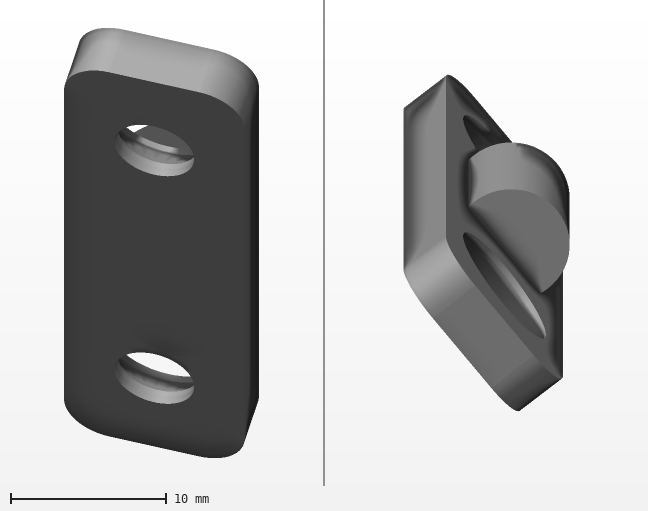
import cadquery as cq
import math

plate_width = 12.0
plate_height = 40.0
plate_thickness = 3.5
corner_radius = 3.0

hole_spacing = 25.0
hole_diameter = 5.3
hole_straight_depth = 1.0
countersink_diameter = 8.5
countersink_mouth_depth = 0.5

flange_width = 7.5
flange_height = 12.0
flange_depth = 1.0
stem_height = 10.0
nose_radius = flange_width / 2
nose_center_above_back = 0.55
nose_center_y = plate_thickness + nose_center_above_back
nose_tip_y = nose_center_y + nose_radius
stem_half_width = math.sqrt(nose_radius**2 - nose_center_above_back**2)


def make_insert():
    """Retaining flange with a round-nosed stem that passes through the plate."""
    flange = cq.Workplane("XY").box(
        flange_width, flange_depth, flange_height, centered=(True, False, True)
    )
    stem = (
        cq.Workplane("XY")
        .moveTo(-stem_half_width, 0)
        .lineTo(stem_half_width, 0)
        .lineTo(stem_half_width, plate_thickness)
        .threePointArc((0, nose_tip_y), (-stem_half_width, plate_thickness))
        .close()
        .extrude(stem_height)
        .translate((0, 0, -stem_height / 2))
    )
    return flange.union(stem)


def make_screw_hole(center_z):
    """Cutter for one screw hole: straight bore, cone, then a wide straight mouth at the back."""
    bore_radius = hole_diameter / 2
    mouth_radius = countersink_diameter / 2
    cone_end_y = plate_thickness - countersink_mouth_depth
    return (
        cq.Workplane("XY")
        .polyline(
            [
                (0, 0),
                (bore_radius, 0),
                (bore_radius, hole_straight_depth),
                (mouth_radius, cone_end_y),
                (mouth_radius, plate_thickness),
                (0, plate_thickness),
            ]
        )
        .close()
        .revolve(360, (0, 0, 0), (0, 1, 0))
        .translate((0, 0, center_z))
    )


def make_plate(insert):
    """Rounded plate with two countersunk holes and a stepped opening that fits the insert."""
    plate = (
        cq.Workplane("XY")
        .box(plate_width, plate_thickness, plate_height, centered=(True, False, True))
        .edges("|Y")
        .fillet(corner_radius)
    )
    for side in (-1, 1):
        plate = plate.cut(make_screw_hole(side * hole_spacing / 2))
    return plate.cut(insert)


insert = make_insert()
plate = make_plate(insert)

result = cq.Compound.makeCompound([plate.val(), insert.val()])